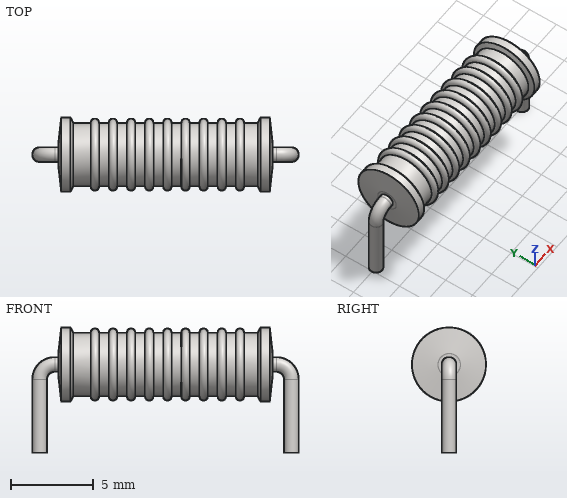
import cadquery as cq

overall_length = 16.14
overall_height = 7.6

flange_diameter = 4.5
barrel_diameter = 3.85
face_flat_diameter = 1.35
body_length = 13.0
face_cone_depth = 0.18
rim_width = 0.56
shoulder_width = 0.18

ring_count = 9
ring_pitch = 1.1
ring_section_radius = 0.26
winding_offset = 0.11

lead_diameter = 0.9
bend_radius = lead_diameter

face_x = body_length / 2
rim_outer_x = face_x - face_cone_depth
rim_inner_x = rim_outer_x - rim_width
barrel_end_x = rim_inner_x - shoulder_width
flange_radius = flange_diameter / 2
barrel_radius = barrel_diameter / 2
lead_x = (overall_length - lead_diameter) / 2
lead_bottom_z = flange_radius - overall_height


def make_body():
    """Barrel with a coned flange at each end, revolved about X."""
    right_outline = [
        (barrel_end_x, barrel_radius),
        (rim_inner_x, flange_radius),
        (rim_outer_x, flange_radius),
        (face_x, face_flat_diameter / 2),
        (face_x, 0),
    ]
    left_outline = [(-x, radius) for x, radius in reversed(right_outline)]
    profile = cq.Workplane("XY").polyline(left_outline + right_outline).close()
    return profile.revolve(360, (0, 0, 0), (1, 0, 0))


def make_ring(x):
    """Round-section ring centred on the barrel surface."""
    section = cq.Workplane("XY").center(x, barrel_radius).circle(ring_section_radius)
    return section.revolve(360, (0, -barrel_radius, 0), (1, -barrel_radius, 0))


def make_right_lead():
    """Wire rising to a quarter bend and running along the axis to mid-body."""
    bend_end_x = lead_x - bend_radius
    bend_middle = bend_radius * 0.5**0.5
    path = (
        cq.Workplane("XZ")
        .moveTo(lead_x, lead_bottom_z)
        .lineTo(lead_x, -bend_radius)
        .threePointArc((bend_end_x + bend_middle, bend_middle - bend_radius), (bend_end_x, 0))
        .lineTo(0, 0)
    )
    section = cq.Workplane("XY", origin=(lead_x, 0, lead_bottom_z)).circle(lead_diameter / 2)
    return section.sweep(path)


result = make_body()

for index in range(ring_count):
    ring_x = winding_offset + (index - (ring_count - 1) / 2) * ring_pitch
    result = result.union(make_ring(ring_x))

right_lead = make_right_lead()
result = result.union(right_lead).union(right_lead.mirror("YZ"))